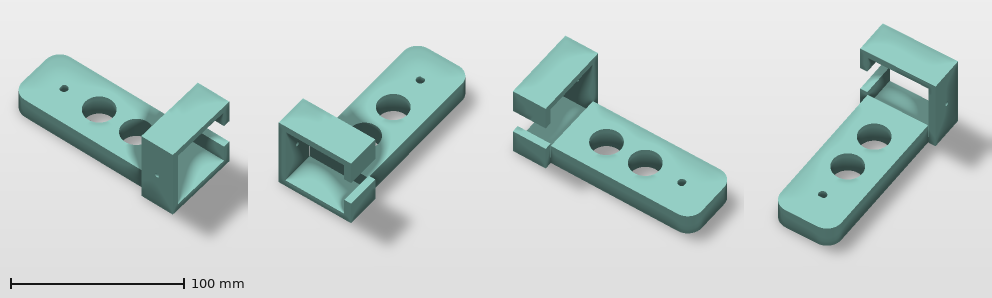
import cadquery as cq

total_length = 123.0
clamp_size = 52.3
clamp_length = 23.2
wall = 4.9
lip_gap = 18.0

arm_length = total_length - clamp_length
arm_width = 42.0
arm_height = 15.0
corner_radius = 10.0

large_hole_diameter = 20.0
large_hole_positions = (47.8, 75.3)
small_hole_diameter = 5.4
small_hole_flat = 2.1
small_hole_position = 21.9
screw_hole_diameter = 3.0


def make_small_hole():
    """D-shaped cutter: a vertical round bar with its -X side cut flat."""
    radius = small_hole_diameter / 2
    bar = cq.Workplane("XY").circle(radius).extrude(arm_height)
    kept_side = (
        cq.Workplane("XY")
        .box(small_hole_flat + radius, small_hole_diameter, arm_height, centered=(False, True, False))
        .translate((-small_hole_flat, 0, 0))
    )
    return bar.intersect(kept_side).translate((small_hole_position, 0, 0))


def make_arm():
    """Flat arm along X with a rounded free end and vertical through holes."""
    arm = (
        cq.Workplane("XY")
        .box(arm_length, arm_width, arm_height, centered=(False, True, False))
        .edges("|Z and <X")
        .fillet(corner_radius)
    )
    for x in large_hole_positions:
        arm = arm.cut(cq.Workplane("XY").center(x, 0).circle(large_hole_diameter / 2).extrude(arm_height))
    return arm.cut(make_small_hole())


def make_clamp():
    """Square tube section, open along X, with a gap between two lips at +Y."""
    inner_size = clamp_size - 2 * wall
    clamp_middle = (arm_length + clamp_length / 2, 0, clamp_size / 2)
    clamp = cq.Workplane("XY").box(clamp_length, clamp_size, clamp_size)
    clamp = clamp.cut(cq.Workplane("XY").box(clamp_length, inner_size, inner_size))
    gap = cq.Workplane("XY").box(clamp_length, wall, lip_gap)
    clamp = clamp.cut(gap.translate((0, (clamp_size - wall) / 2, 0)))
    screw_hole = cq.Workplane("XZ").circle(screw_hole_diameter / 2).extrude(clamp_size / 2)
    return clamp.cut(screw_hole).translate(clamp_middle)


result = make_arm().union(make_clamp())